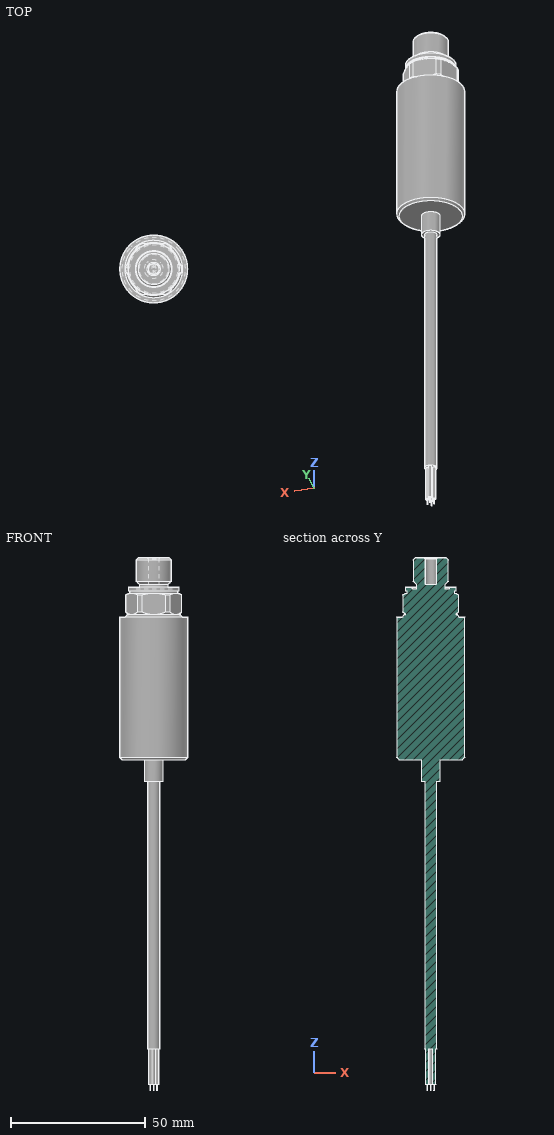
import cadquery as cq
import math

TOTAL_LENGTH = 198.7

PORT_DIA = 13.16
PORT_CHAMFER = 0.8
THREAD_END = 8.8
RELIEF_DIA = 10.8
RELIEF_TOP = THREAD_END + (PORT_DIA - RELIEF_DIA) / 2
BORE_DIA = 4.0
BORE_MOUTH_DIA = 5.0
BORE_DEPTH = 10.0

FLANGE_DIA = 19.0
FLANGE_TOP = 11.0
FLANGE_BOTTOM = 12.5
SEAL_RECESS_DIA = 13.7
SEAL_RECESS_DEPTH = 0.6
GROOVE_DIA = 18.0

HEX_ACROSS_FLATS = 19.0
HEX_CORNER_DIA = 20.9
HEX_TOP = 13.3
HEX_BOTTOM = 21.2
HEX_CHAMFER_RADIAL = 0.9
HEX_TOP_CHAMFER_HEIGHT = 0.6
HEX_BOTTOM_CHAMFER_HEIGHT = 0.9

BODY_DIA = 25.4
BODY_TOP = 22.2
BODY_BOTTOM = 75.5
BODY_CHAMFER = 0.9
NECK_DIA = 19.8
NECK_FLARE_DIA = 21.5

STRAIN_RELIEF_DIA = 7.0
STRAIN_RELIEF_END = 83.5
CABLE_DIA = 4.6
CABLE_END = 183.3

WIRE_COUNT = 4
WIRE_DIA = 1.3
WIRE_CIRCLE_RADIUS = 1.3
WIRE_END = 196.6
CONDUCTOR_DIA = 0.35


def rod(diameter, top, bottom, x=0, y=0):
    """Vertical cylinder between two depths below the port face."""
    return cq.Workplane("XY").workplane(offset=-bottom).center(x, y).circle(diameter / 2).extrude(bottom - top)


def turned(profile):
    """Solid of revolution about Z from (diameter, depth) points, closed along the axis."""
    points = [(diameter / 2, -depth) for diameter, depth in profile]
    points = [(0, points[0][1])] + points + [(0, points[-1][1])]
    return cq.Workplane("XZ").polyline(points).close().revolve(360, (0, 0), (0, 1))


def make_port():
    port = turned([
        (PORT_DIA - 2 * PORT_CHAMFER, 0),
        (PORT_DIA, PORT_CHAMFER),
        (PORT_DIA, THREAD_END),
        (RELIEF_DIA, RELIEF_TOP),
        (RELIEF_DIA, FLANGE_TOP + SEAL_RECESS_DEPTH),
        (SEAL_RECESS_DIA, FLANGE_TOP + SEAL_RECESS_DEPTH),
        (SEAL_RECESS_DIA, FLANGE_TOP),
        (FLANGE_DIA, FLANGE_TOP),
        (FLANGE_DIA, FLANGE_BOTTOM),
        (GROOVE_DIA, FLANGE_BOTTOM),
        (GROOVE_DIA, HEX_TOP),
    ])
    bore = turned([
        (BORE_MOUTH_DIA, 0),
        (BORE_DIA, (BORE_MOUTH_DIA - BORE_DIA) / 2),
        (BORE_DIA, BORE_DEPTH),
    ])
    return port.cut(bore)


def make_hexagon():
    """Hexagonal nut section, two flats facing +Y and -Y, trimmed by a chamfered cylinder."""
    sharp_corner_dia = HEX_ACROSS_FLATS / math.cos(math.pi / 6)
    prism = (
        cq.Workplane("XY")
        .workplane(offset=-HEX_BOTTOM)
        .polygon(6, sharp_corner_dia)
        .extrude(HEX_BOTTOM - HEX_TOP)
    )
    end_dia = HEX_CORNER_DIA - 2 * HEX_CHAMFER_RADIAL
    envelope = turned([
        (end_dia, HEX_TOP),
        (HEX_CORNER_DIA, HEX_TOP + HEX_TOP_CHAMFER_HEIGHT),
        (HEX_CORNER_DIA, HEX_BOTTOM - HEX_BOTTOM_CHAMFER_HEIGHT),
        (end_dia, HEX_BOTTOM),
    ])
    return prism.intersect(envelope)


def make_housing():
    return turned([
        (NECK_DIA, HEX_BOTTOM),
        (NECK_FLARE_DIA, BODY_TOP),
        (BODY_DIA, BODY_TOP),
        (BODY_DIA, BODY_BOTTOM - BODY_CHAMFER),
        (BODY_DIA - 2 * BODY_CHAMFER, BODY_BOTTOM),
    ])


def make_cable():
    strain_relief = rod(STRAIN_RELIEF_DIA, BODY_BOTTOM, STRAIN_RELIEF_END)
    return strain_relief.union(rod(CABLE_DIA, STRAIN_RELIEF_END, CABLE_END))


def make_wire(index):
    angle = index * 2 * math.pi / WIRE_COUNT
    x = WIRE_CIRCLE_RADIUS * math.cos(angle)
    y = WIRE_CIRCLE_RADIUS * math.sin(angle)
    insulation = rod(WIRE_DIA, CABLE_END, WIRE_END, x, y)
    return insulation.union(rod(CONDUCTOR_DIA, WIRE_END, TOTAL_LENGTH, x, y))


result = make_port().union(make_hexagon()).union(make_housing()).union(make_cable())
for wire_index in range(WIRE_COUNT):
    result = result.union(make_wire(wire_index))